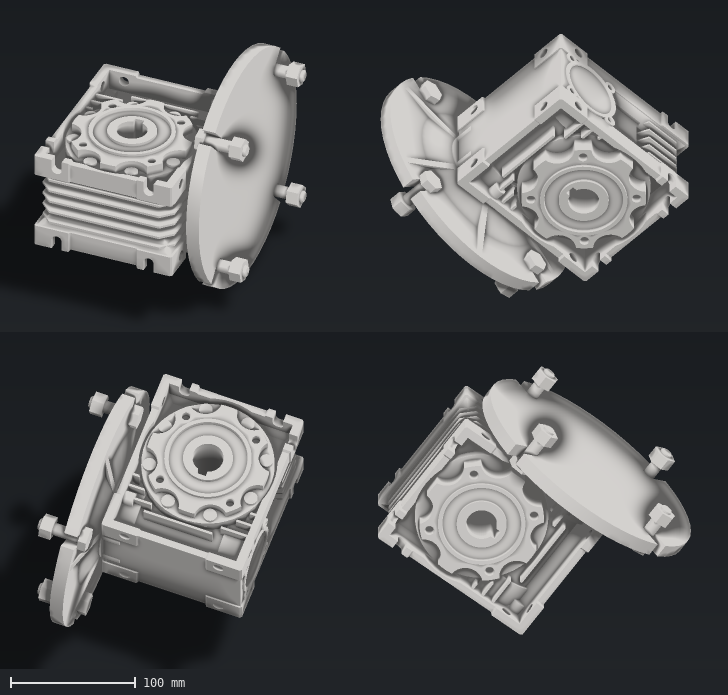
import cadquery as cq
import math


half_width = 60.0
worm_end_y = 84.0
frame_top = 42.5
frame_bottom = 24.5
frame_wall = 7.1
pad_length = 30.0
side_recess = 1.5
top_recess = 1.9
skirt_step = 2.3
skirt_bottom = 16.0
cavity_floor = 19.5
trench_floor = 15.5
cover_clearance_radius = 55.8

foot_hole_diameter = 8.8
foot_hole_z = 34.5
foot_hole_offset = 40.0
foot_hole_worm_end_y = 64.0

case_radius = 47.2
seat_bevel = 2
fin_reach = 57.5
fin_thickness = 1.9
fin_pitch = 10.0
fin_corner = 9.6
fin_start_y = -11.5
fin_end_slant = 5.7
plate_y_center = 2.7
plate_length = 30.2
plate_height = 37.0
plate_bevel = 1.9
plate_front_x = -49.7
plate_pocket_height = 38.2

worm_y = 50.0
tunnel_radius = 24.5
boss_diameter = 55.0
boss_depth = 27.3
input_boss_diameter = 57.5
input_boss_depth = 21.5
cap_diameter = 47.0
cap_recess = 1.5
cap_chamfer = 0.8
lug_diameter = 11.0
lug_hole_diameter = 5.5
lug_length = 15.5
lug_hole_depth = 9.5
cap_lug_offset = 21.2
flange_lug_radius = 32.5
inner_fin_thickness = 2
inner_fin_top = 36.0
inner_fin_y_first = 57.7
inner_fin_first_start_x = -25.2
inner_fin_first_end_x = 33.3
inner_fin_y_second = 50.0
inner_fin_second_end_x = 29.5
inner_fin_y_third = 39.8
inner_fin_y_fourth = 29.8

hub_diameter = 40.0
hub_top = 46.1
bore_diameter = 25.0
key_width = 8.0
key_top_y = 16.0
cover_diameter = 107
cover_bottom = 29.4
cover_rim_top = 35.2
cover_face = 43.5
scallop_plate_diameter = 99.8
scallop_diameter = 28.0
scallop_center_radius = 54.5
ring_diameter = 70.0
seal_diameter = 63.7
seal_draft = 10
seal_face = 43.0
screw_count = 8
screw_circle_radius = 47.0
screw_head_diameter = 11.0
screw_head_height = 3.0
tapped_hole_diameter = 6.7
tapped_hole_mouth = 8.0
tapped_hole_depth = 10.0
tapped_hole_radius = 42.4

flange_diameter = 199.6
flange_face_x = 68.4
flange_thickness = 11.1
spigot_diameter = 76.0
spigot_end_x = 61.5
cone_diameter = 129.0
rib_count = 6
rib_width = 5.7
rib_outer_radius = 94.5
bolt_circle_radius = 82.5
bolt_slot_width = 11.3
bolt_diameter = 10.0
bolt_chamfer = 1.0
bolt_end_x = 104.0
hex_across_flats = 17.0
nut_start_x = 91.5
nut_thickness = 9.9

inner_half_width = half_width - frame_wall
inner_worm_end_y = worm_end_y - frame_wall
inner_case_x = case_radius - 2


def block(x0, x1, y0, y1, z0, z1):
    """Box between two opposite corners."""
    size = (x1 - x0, y1 - y0, z1 - z0)
    return cq.Workplane("XY").box(*size, centered=False).translate((x0, y0, z0))


def x_cylinder(diameter, x0, x1, y, z=0):
    """Cylinder along X."""
    return cq.Workplane("YZ", origin=(x0, y, z)).circle(diameter / 2).extrude(x1 - x0)


def z_cylinder(diameter, z0, z1, x=0, y=0):
    """Cylinder along Z."""
    return cq.Workplane("XY", origin=(x, y, z0)).circle(diameter / 2).extrude(z1 - z0)


def hopper(x_reach, y0, y1, top, bottom):
    """Block whose four sides slope inward at 45 degrees from its top to its bottom."""
    return (
        cq.Workplane("XY", origin=(0, (y0 + y1) / 2, top))
        .rect(2 * x_reach, y1 - y0)
        .extrude(bottom - top, taper=45)
    )


def polar(radius, degrees):
    angle = math.radians(degrees)
    return radius * math.cos(angle), radius * math.sin(angle)


def both_ends(shape):
    """The shape together with its mirror image below the middle plane."""
    return shape.union(shape.mirror("XY"))


def frame_recesses():
    """Shallow bevelled cuts between the corner pads, on all four outer sides and on the top."""
    recesses = cq.Workplane("XY")
    x_run = half_width - pad_length
    y_low = pad_length - half_width
    y_high = worm_end_y - pad_length
    height = frame_top - frame_bottom
    for side in (-1, 1):
        across_x = [
            (side * half_width, y_low),
            (side * half_width, y_high),
            (side * (half_width - side_recess), y_high - side_recess),
            (side * (half_width - side_recess), y_low + side_recess),
        ]
        recesses = recesses.add(
            cq.Workplane("XY", origin=(0, 0, frame_bottom)).polyline(across_x).close().extrude(height)
        )
        top_profile = [
            (y_low, frame_top),
            (y_high, frame_top),
            (y_high - side_recess, frame_top - top_recess),
            (y_low + side_recess, frame_top - top_recess),
        ]
        recesses = recesses.add(
            cq.Workplane("YZ", origin=(side * half_width, 0, 0))
            .polyline(top_profile)
            .close()
            .extrude(-side * frame_wall)
        )
    for edge_y, inward in ((-half_width, 1), (worm_end_y, -1)):
        across_y = [
            (-x_run, edge_y),
            (x_run, edge_y),
            (x_run - side_recess, edge_y + inward * side_recess),
            (-x_run + side_recess, edge_y + inward * side_recess),
        ]
        recesses = recesses.add(
            cq.Workplane("XY", origin=(0, 0, frame_bottom)).polyline(across_y).close().extrude(height)
        )
        top_profile = [
            (-x_run, frame_top),
            (x_run, frame_top),
            (x_run - side_recess, frame_top - top_recess),
            (-x_run + side_recess, frame_top - top_recess),
        ]
        recesses = recesses.add(
            cq.Workplane("XZ", origin=(0, edge_y, 0)).polyline(top_profile).close().extrude(-inward * frame_wall)
        )
    return recesses.combine()


def foot_openings():
    """Round holes near the worm end, slots open at the rim near the other end."""
    openings = cq.Workplane("XY")
    radius = foot_hole_diameter / 2
    near_wall = frame_wall + 0.2
    for x in (-foot_hole_offset, foot_hole_offset):
        worm_end_hole = cq.Workplane("XZ", origin=(x, worm_end_y, foot_hole_z)).circle(radius).extrude(near_wall)
        slot_hole = cq.Workplane("XZ", origin=(x, -half_width, foot_hole_z)).circle(radius).extrude(-near_wall)
        slot = block(x - radius, x + radius, -half_width, near_wall - half_width, foot_hole_z, frame_top)
        openings = openings.union(worm_end_hole).union(slot_hole).union(slot)
    x0 = -half_width
    x1 = near_wall - half_width
    for y in (-foot_hole_offset, foot_hole_worm_end_y):
        openings = openings.union(x_cylinder(foot_hole_diameter, x0, x1, y, foot_hole_z))
    openings = openings.union(x_cylinder(foot_hole_diameter, -x1, -x0, -foot_hole_offset, foot_hole_z))
    side_slot = block(x0, x1, -foot_hole_offset - radius, -foot_hole_offset + radius, foot_hole_z, frame_top)
    return openings.union(side_slot)


def tub():
    """Upper half of the open frame with its sloping skirt."""
    frame = block(-half_width, half_width, -half_width, worm_end_y, frame_bottom, frame_top)
    frame = frame.edges("|Z").chamfer(side_recess)
    frame = frame.cut(frame_recesses())
    skirt_reach = half_width - skirt_step
    skirt = hopper(skirt_reach, -skirt_reach, worm_end_y - skirt_step, frame_bottom, skirt_bottom)
    opening = block(
        -inner_half_width, inner_half_width, -inner_half_width, inner_worm_end_y, frame_bottom, frame_top
    )
    cavity = hopper(inner_half_width, -inner_half_width, inner_worm_end_y, frame_bottom, cavity_floor)
    trench = hopper(inner_half_width, 0, inner_worm_end_y, frame_bottom, trench_floor)
    clearance = z_cylinder(2 * cover_clearance_radius, cover_bottom, frame_top)
    return frame.union(skirt).cut(opening).cut(cavity).cut(trench).cut(clearance).cut(foot_openings())


def gear_case():
    """Round case of the wheel, squared off toward the worm, and the wall at the worm end."""
    case = z_cylinder(2 * case_radius, -trench_floor, trench_floor)
    link = block(-case_radius, case_radius, 0, worm_y, -trench_floor, trench_floor)
    reach = half_width - side_recess
    wall = block(-reach, reach, worm_y, worm_end_y - side_recess, -trench_floor, trench_floor)
    end_walls = block(-reach, reach, worm_y, worm_end_y - side_recess, -frame_bottom, frame_bottom)
    end_walls = end_walls.cut(
        block(-inner_half_width, inner_half_width, worm_y, inner_worm_end_y, -frame_bottom, frame_bottom)
    )
    seat = z_cylinder(cover_diameter, cavity_floor, cover_bottom).faces("<Z").chamfer(seat_bevel)
    return case.union(link).union(wall).union(end_walls).union(both_ends(seat))


def outer_fins():
    """Five U-shaped cooling fins around the gear case."""
    outline = [
        (-inner_case_x, fin_start_y),
        (-fin_reach, fin_start_y - fin_end_slant),
        (-fin_reach, fin_corner - fin_reach),
        (fin_corner - fin_reach, -fin_reach),
        (fin_reach - fin_corner, -fin_reach),
        (fin_reach, fin_corner - fin_reach),
        (fin_reach, fin_start_y - fin_end_slant),
        (inner_case_x, fin_start_y),
    ]
    fins = cq.Workplane("XY")
    for level in range(-2, 3):
        z0 = level * fin_pitch - fin_thickness / 2
        fins = fins.add(cq.Workplane("XY", origin=(0, 0, z0)).polyline(outline).close().extrude(fin_thickness))
    hollow = both_ends(
        hopper(inner_half_width, -inner_half_width, inner_worm_end_y, frame_bottom, cavity_floor)
    )
    return fins.combine().cut(hollow)


def name_plate():
    """Flat plate with bevelled upright edges on the -X side of the gear case."""
    y0 = plate_y_center - plate_length / 2
    half_height = plate_height / 2
    plate = block(plate_front_x, -inner_case_x, y0, y0 + plate_length, -half_height, half_height)
    return plate.edges("<X and |Z").chamfer(plate_bevel)


def name_plate_pocket():
    """Room in the skirts in front of the name plate."""
    y0 = plate_y_center - plate_length / 2
    half_height = plate_pocket_height / 2
    return block(-half_width, plate_front_x, y0, y0 + plate_length, -half_height, half_height)


def worm_tunnel():
    """Tunnel around the worm, with a larger boss at each end and its lugs."""
    tunnel = x_cylinder(2 * tunnel_radius, -half_width, half_width, worm_y)
    tunnel = tunnel.union(x_cylinder(boss_diameter, -half_width, boss_depth - half_width, worm_y))
    tunnel = tunnel.union(x_cylinder(input_boss_diameter, half_width - input_boss_depth, half_width, worm_y))
    for y_side in (-1, 1):
        for z_side in (-1, 1):
            y = worm_y + y_side * cap_lug_offset
            z = z_side * cap_lug_offset
            tunnel = tunnel.union(x_cylinder(lug_diameter, -half_width, lug_length - half_width, y, z))
    for index in range(rib_count):
        z, y = polar(flange_lug_radius, index * 360 / rib_count)
        tunnel = tunnel.union(x_cylinder(lug_diameter, half_width - lug_length, half_width, worm_y + y, z))
    return tunnel


def inner_fins():
    """Thin webs standing on the worm tunnel; the outer ones stop clear of the cover."""
    half = inner_fin_thickness / 2
    y = inner_fin_y_first
    fins = block(inner_fin_first_start_x, inner_fin_first_end_x, y - half, y + half, 0, inner_fin_top)
    side_fins = [
        (inner_fin_y_second, inner_fin_second_end_x),
        (inner_fin_y_third, math.sqrt(cover_clearance_radius**2 - inner_fin_y_third**2)),
        (inner_fin_y_fourth, math.sqrt(cover_clearance_radius**2 - inner_fin_y_fourth**2)),
    ]
    for y, end_x in side_fins:
        fins = fins.union(block(end_x, inner_half_width, y - half, y + half, 0, inner_fin_top))
        fins = fins.union(block(-inner_half_width, -end_x, y - half, y + half, 0, inner_fin_top))
    return fins


def cap_cuts():
    """Recess of the worm end cap and the screw holes in its four lugs."""
    mouth_radius = cap_diameter / 2 + cap_chamfer
    cuts = x_cylinder(cap_diameter, -half_width, cap_recess - half_width, worm_y)
    bevel = (
        cq.Workplane("YZ", origin=(-half_width, worm_y, 0))
        .circle(mouth_radius)
        .extrude(cap_chamfer, taper=45)
    )
    cuts = cuts.union(bevel)
    for y_side in (-1, 1):
        for z_side in (-1, 1):
            y = worm_y + y_side * cap_lug_offset
            z = z_side * cap_lug_offset
            cuts = cuts.union(x_cylinder(lug_hole_diameter, -half_width, lug_hole_depth - half_width, y, z))
    return cuts


def make_housing():
    body = both_ends(tub()).union(gear_case()).union(outer_fins())
    body = body.cut(name_plate_pocket()).union(name_plate())
    body = body.union(worm_tunnel()).union(both_ends(inner_fins()))
    body = body.cut(both_ends(z_cylinder(2 * cover_clearance_radius, cover_bottom, hub_top)))
    body = body.union(output_face().mirror("XY"))
    return body.cut(cap_cuts()).cut(z_cylinder(hub_diameter, -hub_top, hub_top))


def screw_places(radius):
    return [polar(radius, 360 / screw_count * (index + 0.5)) for index in range(screw_count)]


def output_face():
    """Scalloped plate with a raised ring, a seal recess, tapped holes and the opening for the shaft."""
    face = z_cylinder(scallop_plate_diameter, cover_bottom, cover_face)
    for x, y in screw_places(scallop_center_radius):
        face = face.cut(z_cylinder(scallop_diameter, cover_bottom, cover_face, x, y))
    face = face.union(z_cylinder(ring_diameter, cover_bottom, hub_top))
    seal_recess = (
        cq.Workplane("XY", origin=(0, 0, hub_top))
        .circle(seal_diameter / 2)
        .extrude(seal_face - hub_top, taper=seal_draft)
    )
    face = face.cut(seal_recess).cut(z_cylinder(hub_diameter, cover_bottom, hub_top))
    return face.cut(tapped_holes())


def tapped_holes():
    """Four blind holes with a bevelled mouth and a conical bottom."""
    radius = tapped_hole_diameter / 2
    mouth = tapped_hole_mouth / 2
    profile = [
        (0, cover_face),
        (mouth, cover_face),
        (radius, cover_face - (mouth - radius)),
        (radius, cover_face - tapped_hole_depth + radius),
        (0, cover_face - tapped_hole_depth),
    ]
    hole = cq.Workplane("XZ").polyline(profile).close().revolve(360, (0, 0), (0, 1))
    holes = cq.Workplane("XY")
    for index in range(4):
        x, y = polar(tapped_hole_radius, 45 + 90 * index)
        holes = holes.add(hole.translate((x, y, 0)))
    return holes.combine()


def make_cover():
    """Cover of the top opening: the output face on a round rim, with its screw heads."""
    rim = z_cylinder(cover_diameter, cover_bottom, cover_rim_top)
    rim = rim.cut(z_cylinder(hub_diameter, cover_bottom, cover_rim_top)).cut(tapped_holes())
    cover = output_face().union(rim)
    head_top = cover_rim_top + screw_head_height
    for x, y in screw_places(screw_circle_radius):
        cover = cover.union(z_cylinder(screw_head_diameter, cover_rim_top, head_top, x, y))
    return cover


def make_output_shaft():
    """Hollow shaft with a keyed bore."""
    half_key = key_width / 2
    shaft = z_cylinder(hub_diameter, -hub_top, hub_top)
    shaft = shaft.cut(z_cylinder(bore_diameter, -hub_top, hub_top))
    return shaft.cut(block(-half_key, half_key, 0, key_top_y, -hub_top, hub_top))


def flange_disc():
    """Flange plate and the cone that leads to the housing."""
    back_x = flange_face_x + flange_thickness
    profile = [
        (half_width, 0),
        (half_width, spigot_diameter / 2),
        (spigot_end_x, spigot_diameter / 2),
        (flange_face_x, cone_diameter / 2),
        (flange_face_x, flange_diameter / 2),
        (back_x, flange_diameter / 2),
        (back_x, 0),
    ]
    return cq.Workplane("XY").polyline(profile).close().revolve(360, (0, 0), (1, 0))


def flange_rib():
    """Rib along +Z that tapers out toward the rim."""
    profile = [
        (flange_face_x, 0),
        (spigot_end_x, 0),
        (spigot_end_x, spigot_diameter / 2),
        (flange_face_x, rib_outer_radius),
    ]
    return cq.Workplane("XZ").polyline(profile).close().extrude(rib_width / 2, both=True)


def bolt_slot():
    """Slot along +Z, open at the rim and rounded around the bolt."""
    back_x = flange_face_x + flange_thickness
    half = bolt_slot_width / 2
    rounded = x_cylinder(bolt_slot_width, flange_face_x, back_x, 0, bolt_circle_radius)
    return rounded.union(block(flange_face_x, back_x, -half, half, bolt_circle_radius, flange_diameter / 2))


def bolt():
    """Hexagon bolt and nut on the +Z line of the bolt circle."""
    hex_diameter = hex_across_flats / math.cos(math.pi / 6)
    head_length = flange_face_x - spigot_end_x
    shank = x_cylinder(bolt_diameter, spigot_end_x, bolt_end_x, 0).faces(">X").chamfer(bolt_chamfer)
    head = cq.Workplane("YZ", origin=(spigot_end_x, 0, 0)).polygon(6, hex_diameter).extrude(head_length)
    nut = cq.Workplane("YZ", origin=(nut_start_x, 0, 0)).polygon(6, hex_diameter).extrude(nut_thickness)
    hexes = head.union(nut).rotate((0, 0, 0), (1, 0, 0), 90)
    return shank.union(hexes).translate((0, 0, bolt_circle_radius))


def make_flange():
    flange = flange_disc()
    for index in range(rib_count):
        flange = flange.union(flange_rib().rotate((0, 0, 0), (1, 0, 0), 360 / rib_count * index))
    for index in range(4):
        angle = 45 + 90 * index
        flange = flange.cut(bolt_slot().rotate((0, 0, 0), (1, 0, 0), angle))
        flange = flange.union(bolt().rotate((0, 0, 0), (1, 0, 0), angle))
    return flange.translate((0, worm_y, 0))


housing = make_housing()
cover = make_cover()
output_shaft = make_output_shaft()
flange = make_flange()
result = cq.Compound.makeCompound([housing.val(), cover.val(), output_shaft.val(), flange.val()])